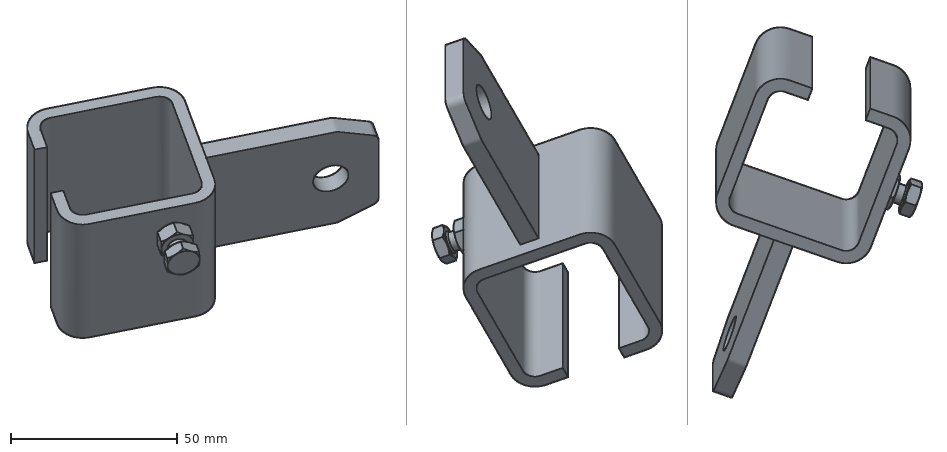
import cadquery as cq
import math

width_x = 61.3
length_y = 104.0
height = 50.0

channel_width = 49.2
channel_depth = 49.0
wall = 4.0
outer_radius = 8.0
slot_width = 18.5

tongue_thickness = 6.0
tongue_height = 40.0
taper_length = 13.0
taper_drop = 5.5
tongue_corner_radius = 3.0
eye_diameter = 11.0
eye_from_tip = 15.0

bolt_from_top = 12.0
bolt_from_back = 15.0
across_flats = 10.0
nut_thickness = 5.0
bolt_reach = width_x - channel_width
head_thickness = 4.0
shank_diameter = 6.0
collar_diameter = 7.2
collar_length = 0.5
hex_chamfer_angle = 30.0

half_width = channel_width / 2
back_y = channel_depth / 2
tip_y = back_y + length_y - channel_depth
bolt_y = back_y - bolt_from_back
bolt_z = height / 2 - bolt_from_top


def make_channel():
    inner_width = channel_width - 2 * wall
    inner_depth = channel_depth - 2 * wall
    outer = cq.Workplane("XY").box(channel_width, channel_depth, height)
    outer = outer.edges("|Z").fillet(outer_radius)
    inner = cq.Workplane("XY").box(inner_width, inner_depth, height)
    inner = inner.edges("|Z").fillet(outer_radius - wall)
    slot = cq.Workplane("XY").box(slot_width, 2 * wall, height).translate((0, -channel_depth / 2, 0))
    return outer.cut(inner).cut(slot)


def make_tongue():
    root_y = back_y - wall / 2
    half_height = tongue_height / 2
    tip_half_height = half_height - taper_drop
    taper_y = tip_y - taper_length
    outline = [
        (root_y, -half_height),
        (taper_y, -half_height),
        (tip_y, -tip_half_height),
        (tip_y, tip_half_height),
        (taper_y, half_height),
        (root_y, half_height),
    ]
    side = cq.Workplane("YZ").workplane(offset=-tongue_thickness / 2)
    tongue = side.polyline(outline).close().extrude(tongue_thickness)
    tongue = tongue.edges("|X and (not <Y)").fillet(tongue_corner_radius)
    eye = side.center(tip_y - eye_from_tip, 0).circle(eye_diameter / 2).extrude(tongue_thickness)
    return tongue.cut(eye)


def make_hex(thickness):
    """Hexagon along +X from the origin, corners up and down, both ends chamfered."""
    across_corners = across_flats / math.cos(math.radians(30))
    corner_radius = across_corners / 2
    flat_radius = across_flats / 2
    chamfer = (corner_radius - flat_radius) * math.tan(math.radians(hex_chamfer_angle))
    prism = cq.Workplane("YZ").polygon(6, across_corners).extrude(thickness)
    prism = prism.rotate((0, 0, 0), (1, 0, 0), 90)
    envelope = (
        cq.Workplane("XY")
        .polyline([
            (0, 0),
            (0, flat_radius),
            (chamfer, corner_radius),
            (thickness - chamfer, corner_radius),
            (thickness, flat_radius),
            (thickness, 0),
        ])
        .close()
        .revolve(360, (0, 0, 0), (1, 0, 0))
    )
    return prism.intersect(envelope)


def make_bolt():
    """Bolt and nut along +X, with the outer wall face at the origin."""
    head_start = bolt_reach - head_thickness
    shank = (
        cq.Workplane("YZ")
        .workplane(offset=-wall)
        .circle(shank_diameter / 2)
        .extrude(wall + head_start)
    )
    collar = (
        cq.Workplane("YZ")
        .workplane(offset=head_start - collar_length)
        .circle(shank_diameter / 2)
        .workplane(offset=collar_length)
        .circle(collar_diameter / 2)
        .loft()
    )
    head = make_hex(head_thickness).translate((head_start, 0, 0))
    return make_hex(nut_thickness).union(shank).union(collar).union(head)


bolt = make_bolt().translate((half_width, bolt_y, bolt_z))
result = make_channel().union(make_tongue()).union(bolt)